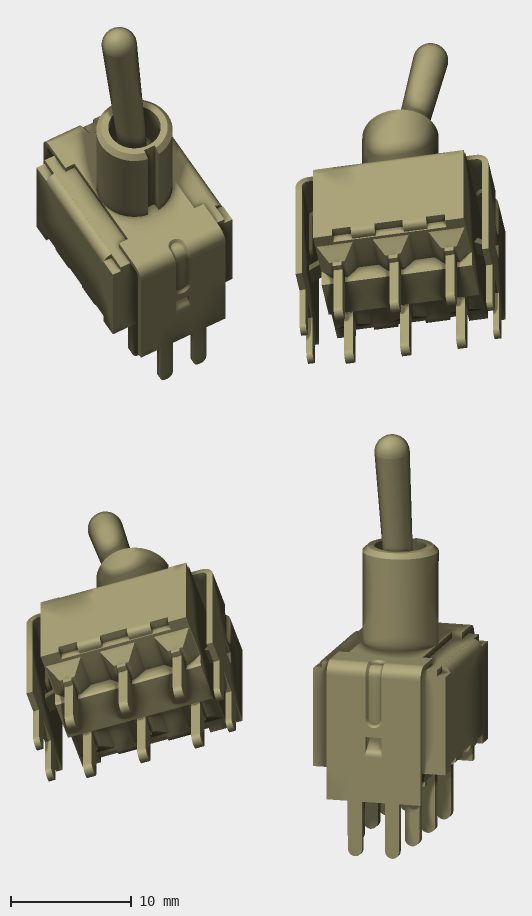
import cadquery as cq
import math


SHEET = 0.53
BRACKET_LENGTH = 16.26
BRACKET_WIDTH = 8.1
BEND_RADIUS = 1.07
LEG_BOTTOM = -11.76
WAIST_LENGTH = 8.92
WAIST_WIDTH = 6.35

MOUNT_PIN_WIDTH = 1.2
MOUNT_PIN_Y = 1.6
MOUNT_PIN_TIP = -16.46

BEAD_DEPTH = 0.25
BEAD_DRAFT = 0.2
BEAD_WIDTH = 1.4
BEAD_END_Z = -4.68

LATCH_WIDTH = 1.4
WINDOW_TOP = -6.2
WINDOW_BOTTOM = -7.88
LATCH_ANGLE = 33
LATCH_BEND = 0.64
LATCH_LENGTH = 1.47

BODY_LENGTH = 12.7
BODY_WIDTH = 11.43
BODY_BOTTOM = -9.46
BODY_TOP = -SHEET
STEP_DEPTH = 0.76
STEP_HEIGHT = 0.53
COVER_LENGTH = 9.54
COVER_BOTTOM = -8.7
COVER_ROUND = 0.87
TAB_WIDTH = 2.0
TAB_X = 2.18
TAB_BOTTOM = -9.36
TAB_ROUND = 0.55
BASE_WIDTH = 3.6
BASE_BOTTOM = -10.93
BASE_BEVEL_HEIGHT = 0.22
BASE_BEVEL_INSET = 0.12

PIN_PITCH = 4.72
PIN_ROW_Y = 2.47
PIN_THICKNESS = 0.76
PIN_WIDTH = 1.27
PIN_TIP = -16.07
BOSS_LENGTH_TOP = 3.04
BOSS_LENGTH_BOTTOM = 1.3
BOSS_OUTER_TOP = 4.67
BOSS_OUTER_BOTTOM = 3.58
BOSS_INNER = 1.8
BOSS_BOTTOM = -10.44
SHOULDER_BOTTOM = -10.89

BUSHING_DIAMETER = 6.35
BUSHING_TOP = 8.29
BUSHING_CHAMFER = 0.42
BORE_DIAMETER = 4.35
KEYWAY_WIDTH = 1.02
KEYWAY_FLOOR = 2.45
PIVOT_Z = 3.69
PIVOT_BALL_DIAMETER = 4.25
LEVER_TILT = 10.85
LEVER_TIP_DIAMETER = 2.94
LEVER_ROOT_DIAMETER = 2.28
LEVER_TOP = 18.38

HALF_LENGTH = BRACKET_LENGTH / 2
BEND_X = HALF_LENGTH - BEND_RADIUS


def box(length, width, bottom, top, x=0, y=0):
    """Upright block centred on (x, y), reaching from bottom to top."""
    block = cq.Workplane("XY").box(length, width, top - bottom, centered=(True, True, False))
    return block.translate((x, y, bottom))


def round_tip_pin(thickness, width, tip, top, x, y):
    """Flat pin, thin along X, with a full round tip across its width."""
    radius = width / 2
    pin = (
        cq.Workplane("YZ")
        .moveTo(y - radius, top)
        .lineTo(y - radius, tip + radius)
        .threePointArc((y, tip), (y + radius, tip + radius))
        .lineTo(y + radius, top)
        .close()
        .extrude(thickness / 2, both=True)
    )
    return pin.translate((x, 0, 0))


def mirrored_in_x(shape):
    return shape.union(shape.mirror("YZ"))


def bracket_sheet():
    outside = box(BRACKET_LENGTH, BRACKET_WIDTH, LEG_BOTTOM, 0)
    outside = outside.edges("|Y and >Z").fillet(BEND_RADIUS)
    inside = box(BRACKET_LENGTH - 2 * SHEET, BRACKET_WIDTH, LEG_BOTTOM, -SHEET)
    inside = inside.edges("|Y and >Z").fillet(BEND_RADIUS - SHEET)
    sheet = outside.cut(inside)
    notch_width = (BRACKET_WIDTH - WAIST_WIDTH) / 2
    notch_y = (BRACKET_WIDTH + WAIST_WIDTH) / 4
    for side in (-1, 1):
        sheet = sheet.cut(box(WAIST_LENGTH, notch_width, -SHEET, 0, y=side * notch_y))
    return sheet


def bead(start_depth):
    """Drafted bead following the bend at +X, from start_depth below the sheet's outer face."""
    top_half = BEAD_WIDTH / 2
    floor_half = top_half - BEAD_DRAFT
    near = BEND_RADIUS - start_depth
    far = near - BEAD_DEPTH

    def section():
        return (
            cq.Workplane("XY", origin=(BEND_X, 0, -BEND_RADIUS))
            .polyline([(near, -top_half), (near, top_half), (far, floor_half), (far, -floor_half)])
            .close()
        )

    straight = section().extrude(BEAD_END_Z + BEND_RADIUS)
    bend = section().revolve(90, (0, 0), (0, -1))
    cone = cq.Solid.makeCone
    lower_end = cone(
        floor_half, top_half, BEAD_DEPTH, cq.Vector(BEND_X + far, 0, BEAD_END_Z), cq.Vector(1, 0, 0)
    )
    upper_end = cone(
        floor_half, top_half, BEAD_DEPTH, cq.Vector(BEND_X, 0, far - BEND_RADIUS), cq.Vector(0, 0, 1)
    )
    return straight.union(bend).union(cq.Workplane(lower_end)).union(cq.Workplane(upper_end))


def latch():
    """Tongue of the +X leg: a bend starting in the outer face, then a straight rise inwards."""
    angle = math.radians(LATCH_ANGLE)
    turn = math.pi / 2 - angle
    centre_x = HALF_LENGTH - LATCH_BEND
    inner_bend = LATCH_BEND - SHEET

    def on_bend(radius, swing):
        return (centre_x + radius * math.cos(swing), WINDOW_BOTTOM + radius * math.sin(swing))

    def along(point):
        return (point[0] - LATCH_LENGTH * math.cos(angle), point[1] + LATCH_LENGTH * math.sin(angle))

    upper = on_bend(LATCH_BEND, turn)
    lower = on_bend(inner_bend, turn)
    return (
        cq.Workplane("XZ")
        .moveTo(*on_bend(LATCH_BEND, 0))
        .threePointArc(on_bend(LATCH_BEND, turn / 2), upper)
        .lineTo(*along(upper))
        .lineTo(*along(lower))
        .lineTo(*lower)
        .threePointArc(on_bend(inner_bend, turn / 2), on_bend(inner_bend, 0))
        .close()
        .extrude(LATCH_WIDTH / 2, both=True)
    )


def bracket():
    shape = bracket_sheet()
    leg_x = HALF_LENGTH - SHEET / 2
    shape = shape.union(mirrored_in_x(bead(SHEET)))
    shape = shape.cut(mirrored_in_x(bead(0)))
    shape = shape.cut(mirrored_in_x(box(SHEET, LATCH_WIDTH, WINDOW_BOTTOM, WINDOW_TOP, x=leg_x)))
    shape = shape.union(mirrored_in_x(latch()))
    for x in (-leg_x, leg_x):
        for y in (-MOUNT_PIN_Y, MOUNT_PIN_Y):
            shape = shape.union(round_tip_pin(SHEET, MOUNT_PIN_WIDTH, MOUNT_PIN_TIP, LEG_BOTTOM, x, y))
    return shape


def base():
    """Block under the body with a steep bevel along each lower long edge."""
    top_half = BASE_WIDTH / 2
    bottom_half = top_half - BASE_BEVEL_INSET
    bevel_top = BASE_BOTTOM + BASE_BEVEL_HEIGHT
    return (
        cq.Workplane("YZ")
        .moveTo(-top_half, BODY_BOTTOM)
        .lineTo(-top_half, bevel_top)
        .lineTo(-bottom_half, BASE_BOTTOM)
        .lineTo(bottom_half, BASE_BOTTOM)
        .lineTo(top_half, bevel_top)
        .lineTo(top_half, BODY_BOTTOM)
        .close()
        .extrude(BODY_LENGTH / 2, both=True)
    )


def body():
    core = box(BODY_LENGTH, BODY_WIDTH - 2 * STEP_DEPTH, BODY_BOTTOM, BODY_TOP)
    cover = box(COVER_LENGTH, BODY_WIDTH, COVER_BOTTOM, BODY_TOP)
    shape = core.union(cover.edges("|X and >Z").fillet(COVER_ROUND))
    post_length = (BODY_LENGTH - COVER_LENGTH) / 2
    post_x = (BODY_LENGTH + COVER_LENGTH) / 4
    for side in (-1, 1):
        shape = shape.union(
            box(post_length, BODY_WIDTH, BODY_BOTTOM, BODY_TOP - STEP_HEIGHT, x=side * post_x)
        )
        tab = box(TAB_WIDTH, BODY_WIDTH, TAB_BOTTOM, COVER_BOTTOM, x=side * TAB_X)
        shape = shape.union(tab.edges("|X and <Z").fillet(TAB_ROUND))
    return shape.union(base())


def terminal_boss(x, side):
    top_width = BOSS_OUTER_TOP - BOSS_INNER
    bottom_width = BOSS_OUTER_BOTTOM - BOSS_INNER
    return (
        cq.Workplane("XY", origin=(x, side * (BOSS_INNER + top_width / 2), BODY_BOTTOM))
        .rect(BOSS_LENGTH_TOP, top_width)
        .workplane(offset=BOSS_BOTTOM - BODY_BOTTOM)
        .center(0, side * (bottom_width - top_width) / 2)
        .rect(BOSS_LENGTH_BOTTOM, bottom_width)
        .loft()
    )


def bushing():
    shape = (
        cq.Workplane("XY", origin=(0, 0, BODY_TOP))
        .circle(BUSHING_DIAMETER / 2)
        .extrude(BUSHING_TOP - BODY_TOP)
        .faces(">Z")
        .chamfer(BUSHING_CHAMFER)
    )
    bore = cq.Workplane("XY", origin=(0, 0, PIVOT_Z)).circle(BORE_DIAMETER / 2).extrude(BUSHING_TOP - PIVOT_Z)
    keyway = box(BUSHING_DIAMETER, KEYWAY_WIDTH, 0, BUSHING_TOP, x=KEYWAY_FLOOR + BUSHING_DIAMETER / 2)
    return shape.cut(bore).cut(keyway)


def lever():
    tip_radius = LEVER_TIP_DIAMETER / 2
    tip_height = (LEVER_TOP - tip_radius - PIVOT_Z) / math.cos(math.radians(LEVER_TILT))
    stick = (
        cq.Workplane("XZ")
        .lineTo(LEVER_ROOT_DIAMETER / 2, 0)
        .lineTo(tip_radius, tip_height)
        .threePointArc(
            (tip_radius * math.sin(math.pi / 4), tip_height + tip_radius * math.cos(math.pi / 4)),
            (0, tip_height + tip_radius),
        )
        .close()
        .revolve(360, (0, 0), (0, 1))
    )
    ball = cq.Workplane("XY").sphere(PIVOT_BALL_DIAMETER / 2)
    tilted = stick.rotate((0, 0, 0), (0, 1, 0), -LEVER_TILT)
    return tilted.union(ball).translate((0, 0, PIVOT_Z))


def terminal(x, side):
    """Boss, shoulder and pin of one terminal; side is the sign of its Y position."""
    shoulder_width = BOSS_OUTER_BOTTOM - BOSS_INNER
    shoulder_y = (BOSS_OUTER_BOTTOM + BOSS_INNER) / 2
    shoulder = box(PIN_THICKNESS, shoulder_width, SHOULDER_BOTTOM, BODY_BOTTOM, x, side * shoulder_y)
    pin = round_tip_pin(PIN_THICKNESS, PIN_WIDTH, PIN_TIP, BODY_BOTTOM, x, side * PIN_ROW_Y)
    return terminal_boss(x, side).union(shoulder).union(pin)


result = body().union(bracket()).union(bushing()).union(lever())
for pin_x in (-PIN_PITCH, 0, PIN_PITCH):
    for row_side in (-1, 1):
        result = result.union(terminal(pin_x, row_side))